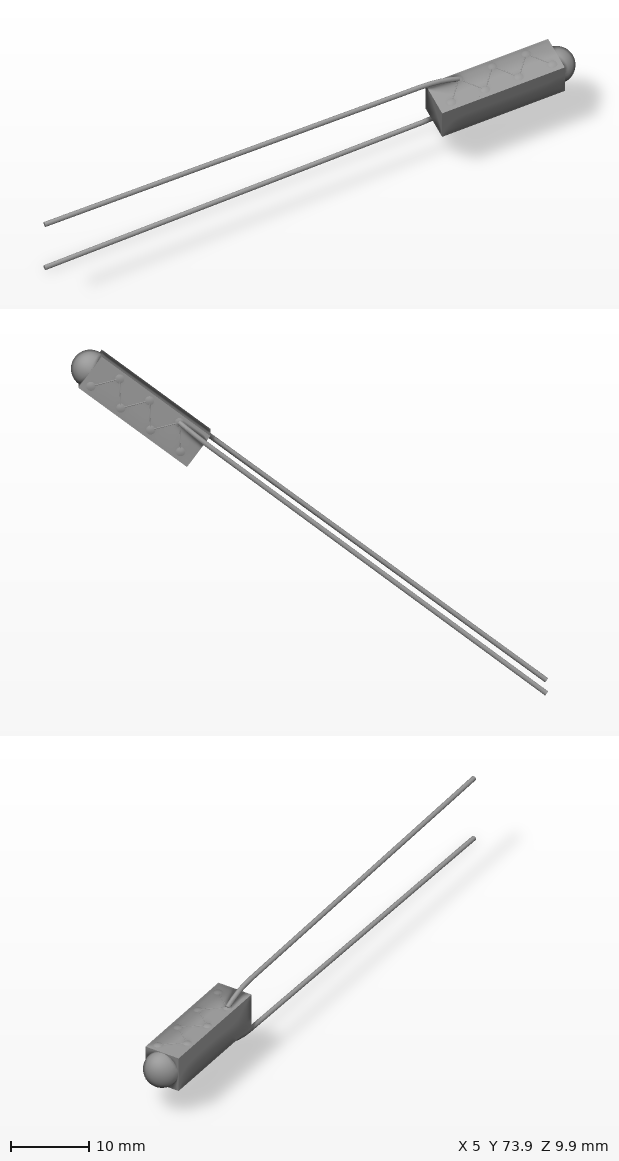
import cadquery as cq


width = 5.0
half_width = width / 2
plate_thickness = 0.7
chip_count = 7
stack_length = 16.6
chip_length = stack_length / chip_count
stack_front = plate_thickness + stack_length
dome_radius = 2.45

dot_radius = 0.6
dot_height = 0.11
left_dot_x = -1.55
right_dot_x = 1.4
link_radius = 0.1
link_sink = 0.015

overall_length = 73.9
overall_height = 9.9
lead_radius = 0.33
lead_chip = 1
bend_length = 5.25
bend_z = 3.85
lead_end_z = overall_height / 2 - lead_radius
lead_end_y = stack_front + dome_radius - overall_length


def chip_start(index):
    """Y of the chip face nearer to the end plate."""
    return plate_thickness + index * chip_length


def dot_place(index):
    """X and Y of the solder dot, which alternates between the right and left side."""
    x = right_dot_x if index % 2 == 0 else left_dot_x
    return x, chip_start(index) + chip_length / 2


def slab(start, length, height=width):
    """Block across the stack that begins at Y = start, square in section unless a height is given."""
    return cq.Workplane("XY").box(width, length, height).translate((0, start + length / 2, 0))


def solder_dot(index):
    """Shallow spherical cap on the upper face, with a short cylindrical root inside the chip."""
    x, y = dot_place(index)
    cap_radius = (dot_radius**2 + dot_height**2) / (2 * dot_height)
    cap = (
        cq.Workplane("XZ")
        .moveTo(0, half_width - dot_height)
        .lineTo(dot_radius, half_width - dot_height)
        .lineTo(dot_radius, half_width)
        .radiusArc((0, half_width + dot_height), -cap_radius)
        .close()
        .revolve(360, (0, 0, 0), (0, 1, 0))
    )
    return cap.translate((x, y, 0))


def link_wire(index):
    """Straight wire from the dot of this chip to the dot of the next, partly sunk in the face."""
    axis_z = half_width - link_sink
    start = cq.Vector(*dot_place(index), axis_z)
    span = cq.Vector(*dot_place(index + 1), axis_z) - start
    return cq.Workplane(cq.Solid.makeCylinder(link_radius, span.Length, start, span))


def lead():
    """Upper lead: a bend that rises from the solder dot, then a long straight that spreads outwards."""
    x, dot_y = dot_place(lead_chip)
    bend_y = dot_y - bend_length
    path = (
        cq.Workplane("YZ", origin=(x, 0, 0))
        .moveTo(lead_end_y, lead_end_z)
        .lineTo(bend_y, bend_z)
        .tangentArcPoint((dot_y, half_width), relative=False)
    )
    end = cq.Workplane("XZ", origin=(x, lead_end_y, lead_end_z)).circle(lead_radius)
    return end.sweep(path)


def dome():
    """Hemispherical tip on the front face of the last chip."""
    ball = cq.Workplane("XY").sphere(dome_radius).translate((0, stack_front, 0))
    return ball.intersect(slab(stack_front, dome_radius))


def both_faces(body, feature):
    """Fuse a feature onto the upper face and its mirror image onto the lower face."""
    return body.union(feature).union(feature.mirror("XY"))


def chip(index):
    """One piezo chip with its solder dots and its share of the link wires."""
    body = slab(chip_start(index), chip_length)
    body = both_faces(body, solder_dot(index))
    chip_zone = slab(chip_start(index), chip_length, overall_height)
    first_link = max(index - 1, 0)
    end_link = min(index + 1, chip_count - 1)
    for link_index in range(first_link, end_link):
        body = both_faces(body, link_wire(link_index).intersect(chip_zone))
    return body


def chip_with_leads():
    """The chip that carries both leads."""
    return both_faces(chip(lead_chip), lead())


def chip_with_dome():
    """The chip at the front end, which carries the dome."""
    return chip(chip_count - 1).union(dome())


end_plate = slab(0, plate_thickness)
near_chips = [chip(index) for index in range(lead_chip)]
far_chips = [chip(index) for index in range(lead_chip + 1, chip_count - 1)]
chips = [*near_chips, chip_with_leads(), *far_chips, chip_with_dome()]

result = cq.Compound.makeCompound([end_plate.val(), *[body.solids().val() for body in chips]])